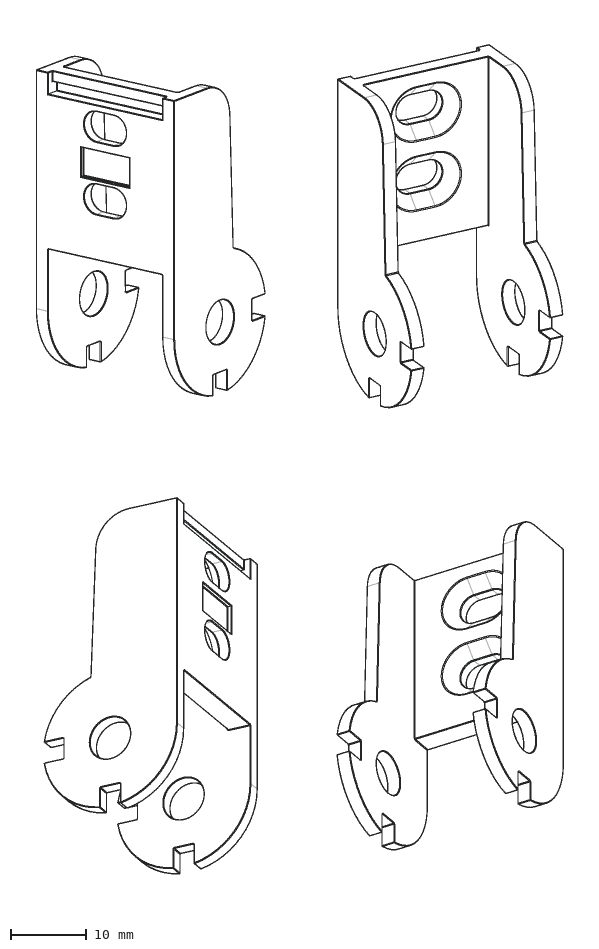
import cadquery as cq
import math


width = 23.05
top_z = 33.0
cheek_thickness = 2.0
inner_width = width - 2 * cheek_thickness
edge_break = 0.1

disc_radius = 10.0
front_y = -disc_radius
top_corner_y = 2.0
waist_y = 2.9
top_fillet = 5.0
pivot_hole_diameter = 6.0
notch_width = 3.0
notch_floor = 6.95

web_thickness = 3.4
web_height = 24.45

slot_length = 7.0
slot_height = 4.15
slot_drops = (6.0, 16.05)
slot_straight_depth = 1.6
countersink_angle = 45.0
countersink = web_thickness - slot_straight_depth

pocket_drop = 11.35
pocket_length = 8.05
pocket_height = 4.07
pocket_depth = 0.6

lip_height = 1.5
lip_depth = 1.0
groove_height = 1.5
groove_depth = 1.95


def front_block(length, height, depth, bottom_z):
    """Block running back from the front face, centred on X, standing on bottom_z."""
    block = cq.Workplane("XY").box(length, depth, height, centered=(True, False, False))
    return block.translate((0, front_y, bottom_z))


def make_cheeks():
    """Both side plates, cut from one full-width extrusion of the side outline."""
    waist_z = math.sqrt(disc_radius**2 - waist_y**2)
    arm = (
        cq.Workplane("YZ")
        .moveTo(front_y, 0)
        .lineTo(front_y, top_z)
        .lineTo(top_corner_y, top_z)
        .lineTo(waist_y, waist_z)
        .lineTo(0, 0)
        .close()
        .extrude(width / 2, both=True)
    )
    top_back_corner = cq.selectors.NearestToPointSelector((0, top_corner_y, top_z))
    arm = arm.edges(top_back_corner).fillet(top_fillet)
    disc = cq.Workplane("YZ").circle(disc_radius).extrude(width / 2, both=True)
    hole = cq.Workplane("YZ").circle(pivot_hole_diameter / 2).extrude(width / 2, both=True)
    cheeks = arm.union(disc).cut(hole)

    notch = cq.Workplane("XY").box(width, disc_radius, notch_width, centered=(True, False, True))
    notch = notch.translate((0, notch_floor, 0))
    for turn in (0, -90):
        cheeks = cheeks.cut(notch.rotate((0, 0, 0), (1, 0, 0), turn))

    gap = cq.Workplane("XY").box(inner_width, 4 * disc_radius, 4 * top_z)
    return cheeks.cut(gap)


def make_slot_cutter(center_z):
    """Through slot in the web that flares out towards the back."""
    slot = (
        cq.Workplane("XZ", origin=(0, front_y, center_z))
        .slot2D(slot_length, slot_height)
        .extrude(-web_thickness)
    )
    flare = (
        cq.Workplane("XZ", origin=(0, front_y + slot_straight_depth, center_z))
        .slot2D(slot_length, slot_height)
        .extrude(-countersink, taper=-countersink_angle)
    )
    return slot.union(flare)


def make_web():
    """Front plate joining the cheeks, with its slots, pocket and top recess."""
    web = front_block(inner_width, web_height, web_thickness, top_z - web_height)
    for drop in slot_drops:
        web = web.cut(make_slot_cutter(top_z - drop))

    pocket_bottom = top_z - pocket_drop - pocket_height / 2
    web = web.cut(front_block(pocket_length, pocket_height, pocket_depth, pocket_bottom))

    lip_bottom = top_z - lip_height
    groove_bottom = lip_bottom - groove_height
    web = web.cut(front_block(inner_width, lip_height, lip_depth, lip_bottom))
    return web.cut(front_block(inner_width, groove_height, groove_depth, groove_bottom))


bracket = make_cheeks().union(make_web())

web_front_region = cq.selectors.BoxSelector(
    (-inner_width / 2 - edge_break, front_y, top_z - web_height + edge_break),
    (inner_width / 2 + edge_break, front_y + groove_depth, top_z - edge_break),
)
front_to_back = cq.selectors.ParallelDirSelector(cq.Vector(0, 1, 0))
result = bracket.edges(-(front_to_back & web_front_region)).chamfer(edge_break)